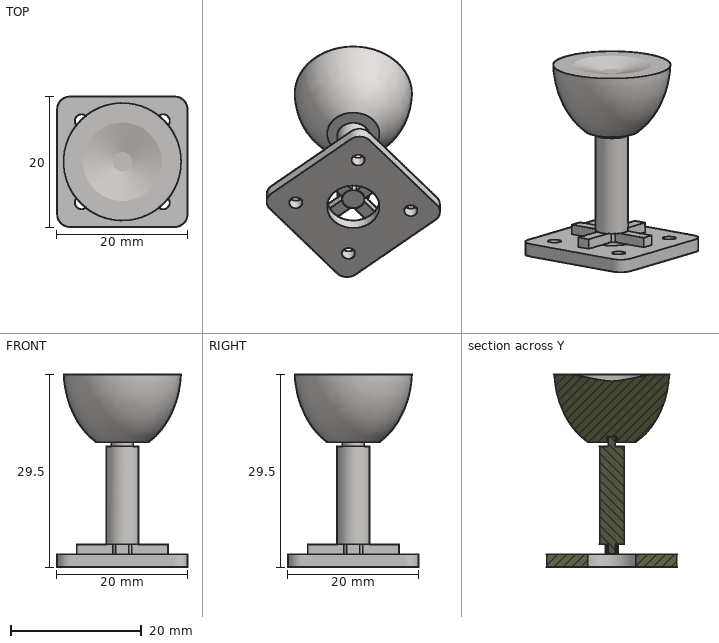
import cadquery as cq

plate_side = 20.0
plate_thickness = 2.0
plate_corner_radius = 2.0
plate_opening_diameter = 8.0
screw_hole_diameter = 2.0
screw_hole_spacing = 12.5

cross_length = 14.0
cross_width = 2.0
cross_height = 1.5

post_diameter = 5.0
post_length = 15.0
pin_diameter = 3.4
pin_length = 1.5
socket_diameter = 3.5

cup_height = 10.4
cup_bottom_radius = 4.0
cup_lower_radius = 6.0
cup_lower_rise = 1.95
cup_upper_radius = 8.0
cup_upper_rise = 5.5
cup_top_radius = 9.0
dish_rim_radius = 6.0
dish_floor_radius = 1.5
dish_depth = 1.0

overall_height = 29.5

post_bottom_z = plate_thickness + cross_height
post_top_z = post_bottom_z + post_length
upper_pin_end_z = post_top_z + pin_length
cup_bottom_z = overall_height - cup_height


def cylinder(diameter, bottom_z, height):
    """Upright cylinder on the Z axis."""
    return cq.Workplane("XY").workplane(offset=bottom_z).circle(diameter / 2).extrude(height)


def make_base():
    """Plate with a round opening, four screw holes and a cross with a pin socket."""
    plate = (
        cq.Workplane("XY")
        .rect(plate_side, plate_side)
        .extrude(plate_thickness)
        .edges("|Z")
        .fillet(plate_corner_radius)
    )
    opening = cylinder(plate_opening_diameter, 0, plate_thickness)
    screw_holes = (
        cq.Workplane("XY")
        .rect(screw_hole_spacing, screw_hole_spacing, forConstruction=True)
        .vertices()
        .circle(screw_hole_diameter / 2)
        .extrude(plate_thickness)
    )
    cross_plane = cq.Workplane("XY").workplane(offset=plate_thickness)
    bar_along_x = cross_plane.rect(cross_length, cross_width).extrude(cross_height)
    bar_along_y = cross_plane.rect(cross_width, cross_length).extrude(cross_height)
    socket = cylinder(socket_diameter, plate_thickness, cross_height)
    cross = bar_along_x.union(bar_along_y).cut(socket)
    return plate.cut(opening).cut(screw_holes).union(cross)


def make_post():
    """Round post with a pin down into the cross and a pin up into the cup."""
    lower_pin = cylinder(pin_diameter, post_bottom_z - pin_length, pin_length)
    shaft = cylinder(post_diameter, post_bottom_z, post_length)
    upper_pin = cylinder(pin_diameter, post_top_z, pin_length)
    return shaft.union(lower_pin).union(upper_pin)


def make_cup():
    """Revolved cup with a dished top and a blind socket for the upper pin."""
    profile = (
        cq.Workplane("XZ")
        .moveTo(0, cup_bottom_z)
        .lineTo(cup_bottom_radius, cup_bottom_z)
        .spline(
            [
                (cup_lower_radius, cup_bottom_z + cup_lower_rise),
                (cup_upper_radius, cup_bottom_z + cup_upper_rise),
                (cup_top_radius, overall_height),
            ],
            includeCurrent=True,
        )
        .lineTo(dish_rim_radius, overall_height)
        .lineTo(dish_floor_radius, overall_height - dish_depth)
        .lineTo(0, overall_height - dish_depth)
        .close()
    )
    cup = profile.revolve(360, (0, 0, 0), (0, 1, 0))
    socket = cylinder(socket_diameter, cup_bottom_z, upper_pin_end_z - cup_bottom_z)
    return cup.cut(socket)


base = make_base()
post = make_post()
cup = make_cup()

result = cq.Compound.makeCompound([base.val(), post.val(), cup.val()])